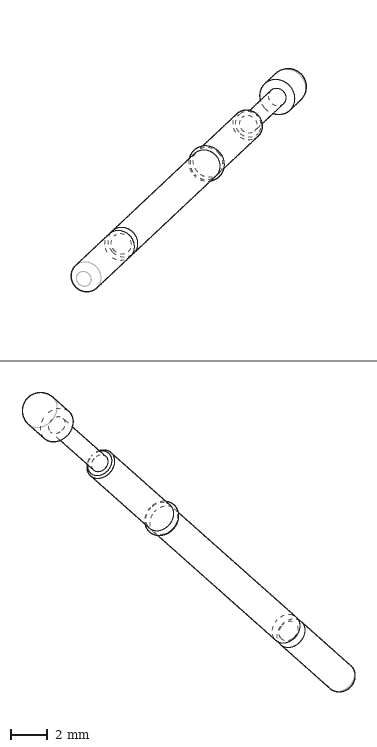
import cadquery as cq
import math

total_length = 38.7
tail_y = -total_length / 2
tip_y = total_length / 2

head_radius = 1.0
head_length = 3.0
stem_radius = 0.5

barrel_radius = 0.85
barrel_length = 30.35
mouth_chamfer = 0.1
tail_fillet = 0.43

ring_radius = 1.0
ring_width = 0.5
ring_center_y = 3.3

groove_width = 0.6
groove_depth = 0.27
groove_center_y = -12.45

barrel_top_y = tail_y + barrel_length
head_base_y = tip_y - head_length
dome_base_y = tip_y - head_radius
diagonal = math.sqrt(0.5)


def revolve_profile(profile):
    """Close a radius-height profile and turn it about the Y axis."""
    return profile.close().revolve(360, (0, 0, 0), (0, 1, 0))


def make_barrel():
    """Barrel with a rounded tail, a V-shaped groove and a chamfered mouth."""
    fillet_center_r = barrel_radius - tail_fillet
    fillet_center_y = tail_y + tail_fillet
    profile = (
        cq.Workplane("XY")
        .moveTo(0, tail_y)
        .lineTo(fillet_center_r, tail_y)
        .threePointArc(
            (fillet_center_r + tail_fillet * diagonal, fillet_center_y - tail_fillet * diagonal),
            (barrel_radius, fillet_center_y),
        )
        .lineTo(barrel_radius, groove_center_y - groove_width / 2)
        .lineTo(barrel_radius - groove_depth, groove_center_y)
        .lineTo(barrel_radius, groove_center_y + groove_width / 2)
        .lineTo(barrel_radius, barrel_top_y - mouth_chamfer)
        .lineTo(barrel_radius - mouth_chamfer, barrel_top_y)
        .lineTo(0, barrel_top_y)
    )
    return revolve_profile(profile)


def make_ring():
    """Press ring with a rounded crest."""
    profile = (
        cq.Workplane("XY")
        .moveTo(0, ring_center_y - ring_width / 2)
        .lineTo(barrel_radius, ring_center_y - ring_width / 2)
        .threePointArc((ring_radius, ring_center_y), (barrel_radius, ring_center_y + ring_width / 2))
        .lineTo(0, ring_center_y + ring_width / 2)
    )
    return revolve_profile(profile)


def make_plunger():
    """Stem and cylindrical head ending in a hemisphere."""
    profile = (
        cq.Workplane("XY")
        .moveTo(0, barrel_top_y)
        .lineTo(stem_radius, barrel_top_y)
        .lineTo(stem_radius, head_base_y)
        .lineTo(head_radius, head_base_y)
        .lineTo(head_radius, dome_base_y)
        .threePointArc(
            (head_radius * diagonal, dome_base_y + head_radius * diagonal),
            (0, tip_y),
        )
    )
    return revolve_profile(profile)


result = make_barrel().union(make_ring()).union(make_plunger())